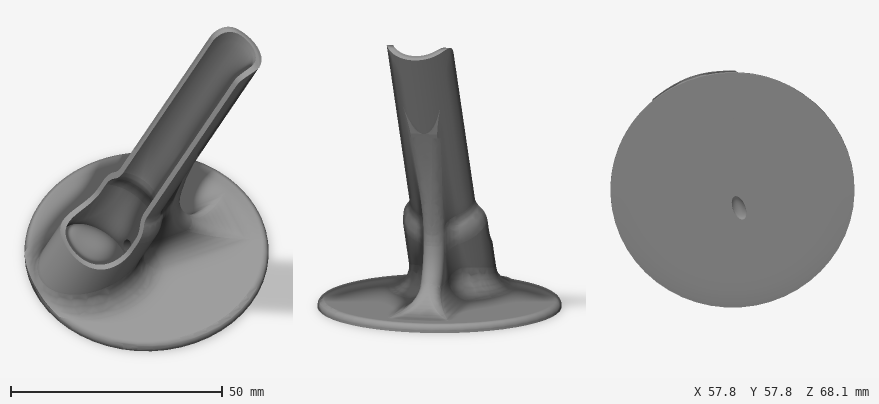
import cadquery as cq
import math

BASE_DIAMETER = 57.76
BASE_THICKNESS = 2.0
RIM_RADIUS = 1.5

TILT_DEGREES = 30.0
AXIS_OFFSET = 15.8
SOCKET_BORE = 17.5
SOCKET_DIAMETER = 20.3
TUBE_BORE = 12.6
TUBE_DIAMETER = 15.7
NECK_HOLLOW_RADIUS = 3.85
HOLDER_BOTTOM = -20.0
SOCKET_FLOOR = 0.25
NECK_START = 14.1
NECK_END = 20.85
HOLDER_TOP = 71.5

OPENING_ARC_START = 11.25
OPENING_ARC_RADIUS = SOCKET_BORE / 2
TOP_CORNER_RADIUS = 4.75

RIB_WIDTH = 5.0
RIB_BACK_Y = 8.3
RIB_FOOT_RADIUS = 15.4
RIB_WAIST_RADIUS = 15.0
RIB_WAIST_TURN = math.radians(11.5)
RIB_TIP = 48.0
RIB_FADE_LENGTH = 8.0
RIB_FADE_DEPTH = 1.6
FILLET_RADIUS = 5.0
RIB_EDGE_RADIUS = 2.45
RIB_EDGE_BOTTOM_Z = BASE_THICKNESS + 0.05
RIB_EDGE_TOP_Z = 44.5

DRAIN_DIAMETER = 3.0
DRAIN_POSITION = 2.3

BASE_RADIUS = BASE_DIAMETER / 2
TUBE_WALL = (TUBE_DIAMETER - TUBE_BORE) / 2
TUBE_BACK = AXIS_OFFSET - TUBE_DIAMETER / 2
TOLERANCE = 0.01
STOCK = 120.0
SIN_TILT = math.sin(math.radians(TILT_DEGREES))
COS_TILT = math.cos(math.radians(TILT_DEGREES))


def side_point(along, front):
    """(y, z) of a point given along the holder axis and square to it toward the open front."""
    return (along * SIN_TILT - front * COS_TILT, along * COS_TILT + front * SIN_TILT)


HOLDER_FRAME = cq.Plane(
    origin=(0, *side_point(0, AXIS_OFFSET)),
    xDir=(0, -COS_TILT, SIN_TILT),
    normal=(-1, 0, 0),
)


def turned_holder(socket_diameter, tube_diameter, bottom, hollow_radius):
    """Socket, S-shaped neck and tube turned about the holder axis."""
    socket_radius = socket_diameter / 2
    tube_radius = tube_diameter / 2
    step = socket_radius - tube_radius
    length = NECK_END - NECK_START
    both_radii = (length**2 + step**2) / (2 * step)
    share = hollow_radius / both_radii
    arcs_meet = (tube_radius + share * step, NECK_END - share * length)
    return (
        cq.Workplane(HOLDER_FRAME)
        .moveTo(0, bottom)
        .lineTo(socket_radius, bottom)
        .lineTo(socket_radius, NECK_START)
        .tangentArcPoint(arcs_meet, relative=False)
        .tangentArcPoint((tube_radius, NECK_END), relative=False)
        .lineTo(tube_radius, HOLDER_TOP)
        .lineTo(0, HOLDER_TOP)
        .close()
        .revolve(360, (0, 0), (0, 1))
    )


def rib_slab():
    """Upright slab behind the holder, reaching to the stock edge; its back is shaped later."""
    bottom = side_point(HOLDER_BOTTOM, AXIS_OFFSET)
    top = side_point(HOLDER_TOP, AXIS_OFFSET)
    return (
        cq.Workplane("YZ")
        .polyline([bottom, top, side_point(HOLDER_TOP, -STOCK / 2), (STOCK / 2, bottom[1])])
        .close()
        .extrude(RIB_WIDTH / 2, both=True)
    )


def seam_edges(body):
    """Edges where the rib meets the holder, and where both meet the base."""
    seams = []
    for edge in body.edges().vals():
        box = edge.BoundingBox()
        on_base = abs(box.zmax - BASE_THICKNESS) < TOLERANCE and box.zmin > BASE_THICKNESS - TOLERANCE
        on_rib_side = box.xmax - box.xmin < TOLERANCE and abs(abs(box.xmin) - RIB_WIDTH / 2) < TOLERANCE
        inside_stock = box.ymin < STOCK / 4 and box.ymin > -STOCK / 4
        sloped = box.ymax - box.ymin < box.zmax - box.zmin
        if inside_stock and (on_base or on_rib_side and sloped):
            seams.append(edge)
    return seams


def behind_rib():
    """Everything behind the curved back of the rib."""
    foot_end = (RIB_BACK_Y + RIB_FOOT_RADIUS, BASE_THICKNESS)
    foot_top = (RIB_BACK_Y, BASE_THICKNESS + RIB_FOOT_RADIUS)
    waist_end = (
        RIB_BACK_Y + RIB_WAIST_RADIUS * (1 - math.cos(RIB_WAIST_TURN)),
        foot_top[1] + RIB_WAIST_RADIUS * math.sin(RIB_WAIST_TURN),
    )
    fade_end = side_point(RIB_TIP + RIB_FADE_LENGTH, TUBE_BACK + RIB_FADE_DEPTH)
    top = side_point(2 * HOLDER_TOP, TUBE_BACK + RIB_FADE_DEPTH)
    return (
        cq.Workplane("YZ")
        .moveTo(STOCK, BASE_THICKNESS)
        .lineTo(*foot_end)
        .radiusArc(foot_top, RIB_FOOT_RADIUS)
        .radiusArc(waist_end, RIB_WAIST_RADIUS)
        .tangentArcPoint(side_point(RIB_TIP, TUBE_BACK), relative=False)
        .lineTo(*fade_end)
        .lineTo(*top)
        .lineTo(STOCK, top[1])
        .close()
        .extrude(STOCK, both=True)
    )


def rib_edges(band):
    """Long edges along both sides of the rib's back."""
    edges = []
    for edge in band.edges().vals():
        box = edge.BoundingBox()
        one_side = box.xmin * box.xmax > 0 and max(-box.xmin, box.xmax) < RIB_WIDTH / 2 + FILLET_RADIUS
        if one_side and box.ymin > RIB_BACK_Y - TOLERANCE and box.zmax - box.zmin > 1:
            edges.append(edge)
    return edges


def round_rib_edges(body):
    """Round the back of the rib between the base and the rib tip."""
    height = RIB_EDGE_TOP_Z - RIB_EDGE_BOTTOM_Z
    slice_box = cq.Workplane("XY", origin=(0, 0, RIB_EDGE_BOTTOM_Z)).box(
        STOCK / 2, STOCK / 2, height, centered=(True, True, False)
    )
    band = body.intersect(slice_box)
    rounded = band.newObject(rib_edges(band)).fillet(RIB_EDGE_RADIUS)
    return body.cut(slice_box).union(rounded)


def rim_waste(holder):
    """Corner ring above the rounded rim of the disc, kept clear of the holder."""
    plain = cq.Workplane("XY").circle(BASE_RADIUS).extrude(BASE_THICKNESS)
    disc = plain.faces(">Z").edges().fillet(RIM_RADIUS)
    return plain.cut(disc).cut(holder)


def front_opening():
    """Front half of the holder above the socket rim, plus the two rounded top corners."""
    socket_radius = SOCKET_DIAMETER / 2
    drop = math.sqrt(OPENING_ARC_RADIUS**2 - (socket_radius - OPENING_ARC_RADIUS) ** 2)
    rim_end = (socket_radius, OPENING_ARC_START - drop)
    return (
        cq.Workplane(HOLDER_FRAME)
        .moveTo(0, OPENING_ARC_START)
        .radiusArc(rim_end, -OPENING_ARC_RADIUS)
        .lineTo(SOCKET_DIAMETER, rim_end[1])
        .lineTo(SOCKET_DIAMETER, HOLDER_TOP)
        .lineTo(-TOP_CORNER_RADIUS, HOLDER_TOP)
        .radiusArc((0, HOLDER_TOP - TOP_CORNER_RADIUS), TOP_CORNER_RADIUS)
        .close()
        .extrude(SOCKET_DIAMETER, both=True)
    )


def drain():
    """Hole square to the holder axis, sloping down and back out through the base."""
    frame = cq.Plane(
        origin=(0, *side_point(DRAIN_POSITION, AXIS_OFFSET)),
        xDir=(1, 0, 0),
        normal=(0, COS_TILT, -SIN_TILT),
    )
    return cq.Workplane(frame).circle(DRAIN_DIAMETER / 2).extrude(STOCK / 2)


def build():
    stock = cq.Workplane("XY").box(STOCK, STOCK, BASE_THICKNESS, centered=(True, True, False))
    underside = cq.Workplane("XY").rect(STOCK, STOCK).extrude(-STOCK)
    holder = turned_holder(SOCKET_DIAMETER, TUBE_DIAMETER, HOLDER_BOTTOM, NECK_HOLLOW_RADIUS).cut(underside)
    body = stock.union(holder).union(rib_slab()).cut(underside)
    body = body.newObject(seam_edges(body)).fillet(FILLET_RADIUS)
    body = body.cut(behind_rib().cut(holder))
    body = round_rib_edges(body)
    body = body.intersect(cq.Workplane("XY").circle(BASE_RADIUS).extrude(STOCK))
    body = body.cut(rim_waste(holder))
    body = body.cut(turned_holder(SOCKET_BORE, TUBE_BORE, SOCKET_FLOOR, NECK_HOLLOW_RADIUS + TUBE_WALL))
    return body.cut(front_opening()).cut(drain())


result = build()